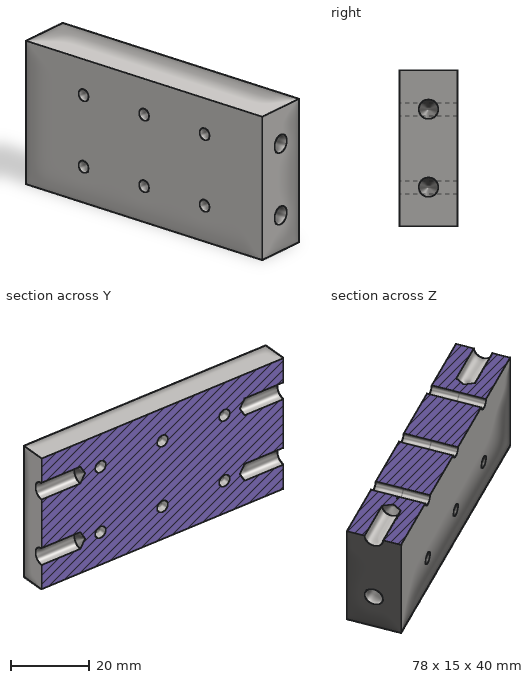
import cadquery as cq
import math

length = 78.0
thickness = 15.0
height = 40.0

hole_pitch = 20.0
columns = 3
rows = 2
through_diameter = 3.3

end_hole_diameter = 5.0
end_hole_depth = 12.5
drill_point_angle = 118.0


def drilled_hole():
    """Drill shape with a conical tip, entering at the -X end and pointing along +X."""
    radius = end_hole_diameter / 2
    tip_length = radius / math.tan(math.radians(drill_point_angle / 2))
    start = -length / 2
    shoulder = start + end_hole_depth
    return (
        cq.Workplane("XY")
        .moveTo(start, 0)
        .lineTo(start, radius)
        .lineTo(shoulder, radius)
        .lineTo(shoulder + tip_length, 0)
        .close()
        .revolve(360, (0, 0, 0), (1, 0, 0))
    )


block = cq.Workplane("XY").box(length, thickness, height)

through_holes = (
    cq.Workplane("XZ")
    .rarray(hole_pitch, hole_pitch, columns, rows)
    .circle(through_diameter / 2)
    .extrude(thickness, both=True)
)
result = block.cut(through_holes)

for z in (-hole_pitch / 2, hole_pitch / 2):
    end_hole = drilled_hole().translate((0, 0, z))
    result = result.cut(end_hole).cut(end_hole.mirror("YZ"))